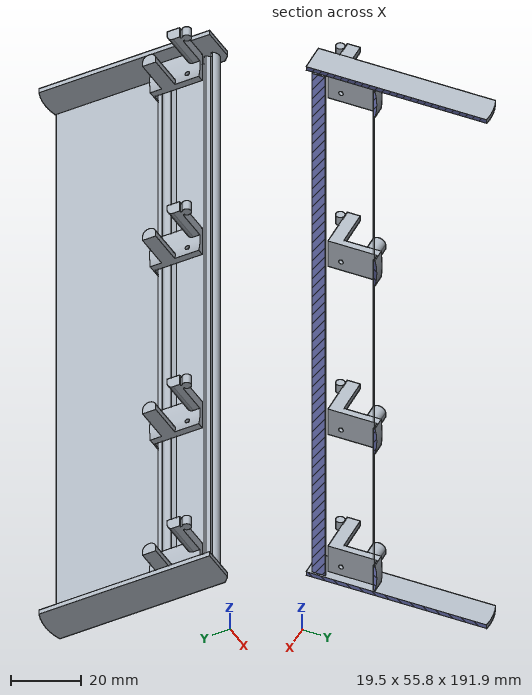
import cadquery as cq

TOTAL_DEPTH = 19.5
TOTAL_WIDTH = 55.8
TOTAL_LENGTH = 191.9

CAP_THICKNESS = 1.5
CAP_DEPTH = 12.5
CAP_CROWN = 1.2
CORNER_CHAMFER = 1.7
CAP_BACK_X = TOTAL_DEPTH - CAP_DEPTH
CAP_SHOULDER_Y = TOTAL_WIDTH - CAP_CROWN

END_GAP = 0.4
PANEL_START_Z = CAP_THICKNESS + END_GAP
PANEL_END_Z = TOTAL_LENGTH - PANEL_START_Z
PANEL_LENGTH = PANEL_END_Z - PANEL_START_Z
PANEL_THICKNESS = 2.1
PANEL_FACE_X = TOTAL_DEPTH - PANEL_THICKNESS
PANEL_START_Y = 1.7
PANEL_END_Y = 54.7

LIP_TIP_X = 14.0
LIP_TIP_Y = 2.9
LIP_CROWN_X = 15.7
LIP_HEEL_X = TOTAL_DEPTH - CORNER_CHAMFER
LIP_HEEL_Y = 2.3
LIP_INNER_Y = 3.3

CHANNEL_FLOOR_X = 15.5
RIB_TOP_X = 14.5
RIB_END_Y = 6.3
RIB_TOP_START_Y = 5.2
RIB_TOP_END_Y = 5.8
RIB_BEVEL = CHANNEL_FLOOR_X - RIB_TOP_X

RAIL_PEAK_X = 15.4
RAIL_CREST_X = 16.0
RAIL_START_Y = 16.1
RAIL_END_Y = 21.0
RAIL_SLOPE_WIDTH = 1.0
GROOVE_DIAMETER = 2.7
GROOVE_CENTER_Y = RAIL_START_Y + RAIL_SLOPE_WIDTH + GROOVE_DIAMETER / 2

CLIP_HEIGHT = 9.5
CLIP_FACE_X = 11.3
CLIP_BACK_X = 13.5
CLIP_START_Y = 5.8
CLIP_END_Y = 21.9
CLIP_END_CROWN = 0.5
DISH_DEPTH = 0.8

ARM_HEIGHT = 3.5
ARM_WIDTH = 4.0
ARM_FILLET = 2.0
ARM_BASE_Z = CLIP_HEIGHT - ARM_HEIGHT
HOOK_DIAMETER = 2.7
HOOK_CENTER_Y = 4.2
HOOK_NECK_WIDTH = 1.5
HOOK_TOP_STEP = 0.4

PEG_WIDTH = 4.2
PEG_SIDE_HEIGHT = 1.7
PEG_HEIGHT = 3.5
PEG_CENTER_Y = 15.5
HOLE_DIAMETER = 1.4
HOLE_Y = 9.8
HOLE_Z = 3.0

CLIP_BASES_Z = [PANEL_START_Z, 53.5, 116.9, PANEL_END_Z - CLIP_HEIGHT]


def box(x_range, y_range, z_range):
    """Box spanning the given (start, end) ranges."""
    size = [end - start for start, end in (x_range, y_range, z_range)]
    corner = (x_range[0], y_range[0], z_range[0])
    return cq.Workplane("XY").box(*size, centered=False).translate(corner)


def make_cap(base_z):
    """End plate with a crowned +Y end and one chamfered corner."""
    return (
        cq.Workplane("XY", origin=(0, 0, base_z))
        .moveTo(CAP_BACK_X, 0)
        .lineTo(TOTAL_DEPTH - CORNER_CHAMFER, 0)
        .lineTo(TOTAL_DEPTH, CORNER_CHAMFER)
        .lineTo(TOTAL_DEPTH, CAP_SHOULDER_Y)
        .threePointArc((CAP_BACK_X + CAP_DEPTH / 2, TOTAL_WIDTH), (CAP_BACK_X, CAP_SHOULDER_Y))
        .close()
        .extrude(CAP_THICKNESS)
    )


def make_panel():
    """Extruded panel with a lip, a channel, a rib and a grooved rail on its -X side."""
    profile = (
        cq.Workplane("XY", origin=(0, 0, PANEL_START_Z))
        .moveTo(LIP_TIP_X, LIP_TIP_Y)
        .threePointArc((LIP_CROWN_X, PANEL_START_Y), (LIP_HEEL_X, LIP_HEEL_Y))
        .lineTo(TOTAL_DEPTH, LIP_HEEL_Y + CORNER_CHAMFER)
        .lineTo(TOTAL_DEPTH, PANEL_END_Y)
        .lineTo(PANEL_FACE_X, PANEL_END_Y)
        .lineTo(PANEL_FACE_X, RAIL_END_Y)
        .lineTo(RAIL_PEAK_X, RAIL_END_Y)
        .lineTo(RAIL_CREST_X, RAIL_END_Y - RAIL_SLOPE_WIDTH)
        .lineTo(RAIL_CREST_X, RAIL_START_Y + RAIL_SLOPE_WIDTH)
        .lineTo(PANEL_FACE_X, RAIL_START_Y)
        .lineTo(PANEL_FACE_X, RIB_END_Y)
        .lineTo(RIB_TOP_X, RIB_TOP_END_Y)
        .lineTo(RIB_TOP_X, RIB_TOP_START_Y)
        .lineTo(CHANNEL_FLOOR_X, RIB_TOP_START_Y - RIB_BEVEL)
        .lineTo(CHANNEL_FLOOR_X, LIP_INNER_Y)
        .lineTo(LIP_TIP_X, LIP_INNER_Y)
        .close()
    )
    groove = (
        cq.Workplane("XY", origin=(RAIL_CREST_X, GROOVE_CENTER_Y, PANEL_START_Z))
        .circle(GROOVE_DIAMETER / 2)
        .extrude(PANEL_LENGTH)
    )
    return profile.extrude(PANEL_LENGTH).cut(groove)


def clip_plate_slab(start_x, end_x, start_y):
    """Slab from start_y to the crowned +Y end of the clip plate."""
    shoulder_y = CLIP_END_Y - CLIP_END_CROWN
    return (
        cq.Workplane("YZ", origin=(start_x, 0, 0))
        .moveTo(start_y, 0)
        .lineTo(shoulder_y, 0)
        .threePointArc((CLIP_END_Y, CLIP_HEIGHT / 2), (shoulder_y, CLIP_HEIGHT))
        .lineTo(start_y, CLIP_HEIGHT)
        .close()
        .extrude(end_x - start_x)
    )


def make_clip_plate():
    """Dished plate with a leg along the +Y side of the rail."""
    plate = clip_plate_slab(CLIP_FACE_X, CLIP_BACK_X, CLIP_START_Y)
    leg = clip_plate_slab(CLIP_BACK_X, PANEL_FACE_X, RAIL_END_Y)
    dish = (
        cq.Workplane("XZ", origin=(CLIP_FACE_X, CLIP_END_Y, 0))
        .threePointArc((DISH_DEPTH, CLIP_HEIGHT / 2), (0, CLIP_HEIGHT))
        .close()
        .extrude(CLIP_END_Y - CLIP_START_Y)
    )
    return plate.cut(dish).union(leg)


def make_clip_arm():
    """Arm reaching in -X, with a round hook necked onto the -Y side of its tip."""
    arm = box(
        (0, CLIP_BACK_X),
        (CLIP_START_Y, CLIP_START_Y + ARM_WIDTH),
        (ARM_BASE_Z, CLIP_HEIGHT),
    )
    arm = arm.edges("|X and <Z and >Y").fillet(ARM_FILLET)
    radius = HOOK_DIAMETER / 2
    hook_top_z = CLIP_HEIGHT - HOOK_TOP_STEP
    hook = (
        cq.Workplane("XY", origin=(radius, HOOK_CENTER_Y, ARM_BASE_Z))
        .circle(radius)
        .extrude(hook_top_z - ARM_BASE_Z)
    )
    neck = box(
        (radius - HOOK_NECK_WIDTH / 2, radius + HOOK_NECK_WIDTH / 2),
        (HOOK_CENTER_Y, CLIP_START_Y),
        (ARM_BASE_Z, hook_top_z),
    )
    return arm.union(hook).union(neck)


def make_clip_peg():
    """Flat-sided peg with an arched top, reaching in -X."""
    half_width = PEG_WIDTH / 2
    return (
        cq.Workplane("YZ", origin=(0, PEG_CENTER_Y, 0))
        .moveTo(-half_width, 0)
        .lineTo(half_width, 0)
        .lineTo(half_width, PEG_SIDE_HEIGHT)
        .threePointArc((0, PEG_HEIGHT), (-half_width, PEG_SIDE_HEIGHT))
        .close()
        .extrude(CLIP_BACK_X)
    )


def make_clip(base_z):
    """One clip whose lower face lies at base_z."""
    hole = (
        cq.Workplane("YZ", origin=(0, HOLE_Y, HOLE_Z))
        .circle(HOLE_DIAMETER / 2)
        .extrude(CLIP_BACK_X)
    )
    clip = make_clip_plate().cut(hole).union(make_clip_arm()).union(make_clip_peg())
    return clip.translate((0, 0, base_z))


panel = make_panel()
caps = [make_cap(base_z) for base_z in (0, TOTAL_LENGTH - CAP_THICKNESS)]
clips = [make_clip(base_z) for base_z in CLIP_BASES_Z]

result = cq.Compound.makeCompound([
    panel.val(),
    *[cap.val() for cap in caps],
    *[clip.val() for clip in clips],
])